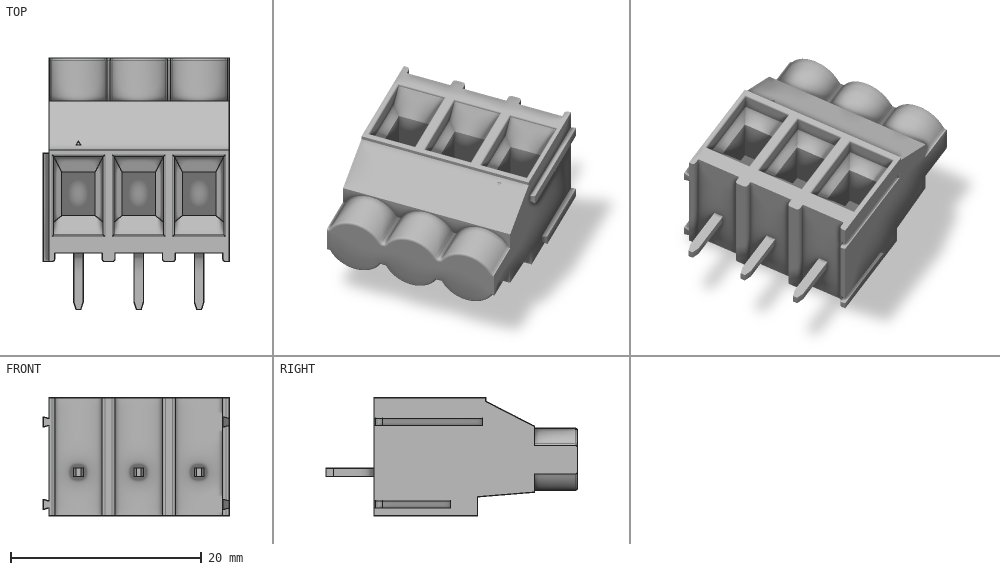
import cadquery as cq


pole_count = 3
pitch = 6.35
first_pole_x = 3.115

housing_width = 19.0
housing_height = 12.45
shoulder_y = 16.93
top_edge_y = 11.78
top_step = 0.38
roof_low_z = 9.43
underside_step_y = 10.93
underside_front_z = 2.0
underside_rear_z = 2.49

foot_height = 0.9
foot_width = 1.38
foot_rounding = 0.32

barrel_end_y = 21.45
barrel_radius = 3.27
barrel_z = 5.97
barrel_edge_rounding = 0.25
web_top_z = 7.43
web_bottom_z = 4.42
web_flare = 0.18

pocket_width = 5.56
pocket_front_y = 2.65
pocket_rear_y = 11.25
rim_rounding = 0.18
front_wall_depth = 0.25
pocket_wall_depth = 1.75
funnel_depth = 0.77
shaft_width = 3.53
shaft_front_y = 4.85
shaft_rear_y = 9.45

pin_width = 1.02
pin_thickness = 0.87
pin_bottom_z = 4.15
pin_tip_y = -5.05
pin_taper_length = 0.8
pin_tip_width = 0.5
pin_top_z = pin_bottom_z + pin_thickness

rib_depth = 0.6
groove_depth = 0.66
dovetail_wide = 1.09
dovetail_neck = 0.74
upper_dovetail_z = 9.89
upper_dovetail_length = 11.42
lower_dovetail_z = 1.21
lower_dovetail_length = 8.07

mark_width = 0.5
mark_front_y = 12.27
mark_length = 0.42
mark_depth = 0.1

pole_centers = [first_pole_x + pitch * pole for pole in range(pole_count)]
foot_centers = [first_pole_x + pitch * (pole - 0.5) for pole in range(pole_count + 1)]


def box(x_range, y_range, z_range):
    """Box between two limits on each axis."""
    size = [high - low for low, high in (x_range, y_range, z_range)]
    return cq.Workplane("XY").box(*size, centered=False).translate((x_range[0], y_range[0], z_range[0]))


def prism_along_y(points, y_start, y_end):
    """Extrude a closed X-Z outline from y_start to y_end."""
    outline = cq.Workplane("XZ", origin=(0, y_start, 0)).polyline(points).close()
    return outline.extrude(y_start - y_end)


def make_housing():
    """Stepped side outline, extruded across the full width."""
    profile = [
        (foot_height, 0),
        (underside_step_y, 0),
        (underside_step_y, underside_front_z),
        (shoulder_y, underside_rear_z),
        (shoulder_y, roof_low_z),
        (top_edge_y, housing_height - top_step),
        (top_edge_y, housing_height),
        (foot_height, housing_height),
    ]
    return cq.Workplane("YZ").polyline(profile).close().extrude(housing_width)


def make_feet():
    """Full-height feet; the outer two are trimmed flush with the housing sides."""
    feet = cq.Workplane("XY")
    for center in foot_centers:
        x_range = (center - foot_width / 2, center + foot_width / 2)
        foot = box(x_range, (0, foot_height), (0, housing_height))
        feet = feet.union(foot.edges("|Z and <Y").fillet(foot_rounding))
    return feet.intersect(box((0, housing_width), (0, foot_height), (0, housing_height)))


def make_barrels():
    """Row of round barrels joined by a web, with the outline of the free end rounded."""
    row = box((0, housing_width), (shoulder_y, barrel_end_y), (web_bottom_z, web_top_z))
    flare_top_z = web_top_z + web_flare
    half_chord = (barrel_radius**2 - (flare_top_z - barrel_z) ** 2) ** 0.5
    for center in pole_centers:
        barrel = (
            cq.Workplane("XZ", origin=(center, shoulder_y, barrel_z))
            .circle(barrel_radius)
            .extrude(shoulder_y - barrel_end_y)
        )
        flare = prism_along_y(
            [
                (center - half_chord - web_flare, web_top_z),
                (center + half_chord + web_flare, web_top_z),
                (center + half_chord, flare_top_z),
                (center - half_chord, flare_top_z),
            ],
            shoulder_y,
            barrel_end_y,
        )
        row = row.union(barrel).union(flare)
    row = row.intersect(box((0, housing_width), (shoulder_y, barrel_end_y), (0, housing_height)))
    return row.faces(">Y").edges("not |Z").fillet(barrel_edge_rounding)


def make_pocket():
    """Wire entry: upright walls, funnel with a steep front ramp and a plain shaft, centred on X = 0."""
    half_mouth = pocket_width / 2 - rim_rounding
    half_shaft = shaft_width / 2
    mouth_front = pocket_front_y + rim_rounding
    mouth_rear = pocket_rear_y - rim_rounding
    funnel_top_z = housing_height - pocket_wall_depth
    funnel_bottom_z = funnel_top_z - funnel_depth

    crosswise_profile = [
        (-half_mouth, housing_height),
        (-half_mouth, funnel_top_z),
        (-half_shaft, funnel_bottom_z),
        (half_shaft, funnel_bottom_z),
        (half_mouth, funnel_top_z),
        (half_mouth, housing_height),
    ]
    lengthwise_profile = [
        (mouth_front, housing_height),
        (mouth_front, housing_height - front_wall_depth),
        (shaft_front_y, funnel_bottom_z),
        (shaft_rear_y, funnel_bottom_z),
        (mouth_rear, funnel_top_z),
        (mouth_rear, housing_height),
    ]
    lengthwise = cq.Workplane("YZ").polyline(lengthwise_profile).close().extrude(half_mouth, both=True)
    funnel = prism_along_y(crosswise_profile, mouth_front, mouth_rear).intersect(lengthwise)
    shaft = box((-half_shaft, half_shaft), (shaft_front_y, shaft_rear_y), (pin_top_z, funnel_bottom_z))
    return funnel.union(shaft)


def cut_pockets(housing):
    """Cut one wire pocket per pole and round the rims of their mouths."""
    for center in pole_centers:
        housing = housing.cut(make_pocket().translate((center, 0, 0)))
    mouths = cq.selectors.BoxSelector(
        (rim_rounding, pocket_front_y, housing_height - rim_rounding / 2),
        (housing_width - rim_rounding, pocket_rear_y, housing_height + rim_rounding / 2),
    )
    return housing.edges(mouths).fillet(rim_rounding)


def make_pin():
    """Flat solder pin with a tapered tip, centred on X = 0 and rooted in the housing."""
    taper_y = pin_tip_y + pin_taper_length
    outline = [
        (-pin_width / 2, foot_height),
        (-pin_width / 2, taper_y),
        (-pin_tip_width / 2, pin_tip_y),
        (pin_tip_width / 2, pin_tip_y),
        (pin_width / 2, taper_y),
        (pin_width / 2, foot_height),
    ]
    return cq.Workplane("XY", origin=(0, 0, pin_bottom_z)).polyline(outline).close().extrude(pin_thickness)


def make_dovetail(wall_x, depth, center_z, length):
    """Dovetail bar on the -X side of the plane X = wall_x, widening with its distance from it."""
    tip_x = wall_x - depth
    outline = [
        (wall_x, center_z - dovetail_neck / 2),
        (tip_x, center_z - dovetail_wide / 2),
        (tip_x, center_z + dovetail_wide / 2),
        (wall_x, center_z + dovetail_neck / 2),
    ]
    return prism_along_y(outline, 0, length)


def make_mark():
    """Triangle pointing to the screw side, sunk to a small depth below the sloped roof."""
    roof_slope = (housing_height - top_step - roof_low_z) / (shoulder_y - top_edge_y)

    def roof_point(x, y):
        return cq.Vector(x, y, housing_height - top_step - roof_slope * (y - top_edge_y))

    corners = [
        roof_point(first_pole_x - mark_width / 2, mark_front_y),
        roof_point(first_pole_x + mark_width / 2, mark_front_y),
        roof_point(first_pole_x, mark_front_y + mark_length),
    ]
    outline = cq.Wire.makePolygon(corners, close=True)
    return cq.Workplane(cq.Solid.extrudeLinear(outline, [], cq.Vector(0, 0, -mark_depth)))


result = cut_pockets(make_housing()).union(make_feet()).union(make_barrels())
for center in pole_centers:
    result = result.union(make_pin().translate((center, 0, 0)))
for center_z, length in (
    (upper_dovetail_z, upper_dovetail_length),
    (lower_dovetail_z, lower_dovetail_length),
):
    result = result.union(make_dovetail(0, rib_depth, center_z, length))
    result = result.cut(make_dovetail(housing_width, groove_depth, center_z, length))
result = result.cut(make_mark())